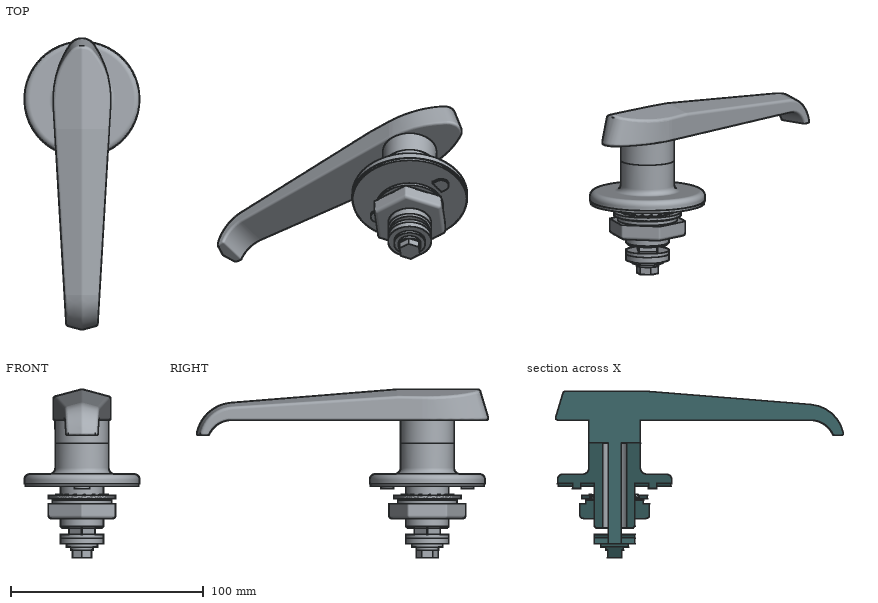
import cadquery as cq
import math


grip_bottom = 32.8
ridge_height = 49.0
roof_pitch = 15.0
grip_half_width = 15.0
taper_start_y = -2.5
plan_end_y = -122.0
tip_bottom = 25.0
plan_end_half_width = 8.0
nose_y_bottom = 32.12
nose_y_top = 27.3
nose_radius = 7.5
ridge_bend_y = -15.5
ridge_slope = 4.6
curl_start_y = -101.8
curl_outer_radius = 20.0
curl_inner_radius = 12.6
rim_fillet = 1.8
underside_fillet = 1.2
tip_fillet = 1.0
ridge_width = 0.5
tip_front_limit_y = -116.0

shank_radius = 14.0
shank_bottom = 21.0
spindle_side = 10.0
spindle_corner_radius = 6.8
flange_radius = 30.0
flange_thickness = 5.0
flange_fillet = 3.0
neck_fillet = 3.0
barrel_radius = 11.25
barrel_bottom = -23.2
barrel_chamfer = 1.0
bore_radius = 7.0

gasket_radius = 29.6
gasket_thickness = 1.5
lug_height = 2.7
lug_half_width = 4.0
lug_centre_y = 20.1
lug_inner_y = 17.5

tooth_count = 16
lock_washer_z = -7.0
lock_washer_thickness = 1.6
lock_washer_radius = 17.5
lock_washer_inner_radius = 13.2
tooth_inner_radius = 11.6
tooth_width = 4.0
tooth_thickness = 0.8
tooth_twist = 35.0
tooth_overlap = 0.4

nut_top = -8.6
nut_collar_height = 1.9
nut_collar_radius = 15.5
nut_hex_height = 7.8
nut_across_flats = 35.0
nut_corner_fillet = 1.2
nut_bottom_fillet = 1.8

disc_radius = barrel_radius
stop_disc_top = -26.4
stop_disc_thickness = 1.9
cam_disc_thickness = 3.1
washer_radius = 8.1
washer_thickness = 1.6
screw_radius = 3.0
screw_depth = 12.0
screw_collar_radius = 5.85
screw_collar_thickness = 1.6
screw_head_height = 4.0
screw_across_flats = 10.0

cam_disc_top = stop_disc_top - stop_disc_thickness
washer_top = cam_disc_top - cam_disc_thickness
screw_collar_top = washer_top - washer_thickness
screw_head_top = screw_collar_top - screw_collar_thickness


def cylinder(radius, bottom, top):
    return cq.Workplane("XY").workplane(offset=bottom).circle(radius).extrude(top - bottom)


def hexagon(across_flats, bottom, top):
    """Hexagonal prism with flats facing +X and -X."""
    across_corners = across_flats / math.cos(math.radians(30))
    prism = cq.Workplane("XY").polygon(6, across_corners).extrude(top - bottom)
    return prism.rotate((0, 0, 0), (0, 0, 1), 30).translate((0, 0, bottom))


def spindle_bar(bottom, top):
    """Square bar turned 45 degrees, its corners rounded off."""
    bar = cq.Workplane("XY").workplane(offset=bottom).rect(spindle_side, spindle_side).extrude(top - bottom)
    bar = bar.rotate((0, 0, 0), (0, 0, 1), 45)
    return bar.intersect(cylinder(spindle_corner_radius, bottom, top))


def nose_outline(sketch, apex_y):
    """Pointed arch: side arcs start along Y at the full width and blend into the nose circle."""
    nose_centre_y = apex_y - nose_radius
    side_radius = (grip_half_width**2 + nose_centre_y**2 - nose_radius**2) / (
        2 * (grip_half_width - nose_radius)
    )
    side_centre_x = side_radius - grip_half_width
    sweep = math.atan2(nose_centre_y, side_centre_x)
    join = (nose_radius * math.cos(sweep), nose_centre_y + nose_radius * math.sin(sweep))
    middle = (
        side_radius * math.cos(sweep / 2) - side_centre_x,
        side_radius * math.sin(sweep / 2),
    )
    return (
        sketch.moveTo(grip_half_width, 0)
        .threePointArc(middle, join)
        .threePointArc((0, apex_y), (-join[0], join[1]))
        .threePointArc((-middle[0], middle[1]), (-grip_half_width, 0))
        .close()
    )


def grip_plan():
    """Everything inside the grip's side walls: leaning nose and tapered arm."""
    nose = nose_outline(cq.Workplane("XY").workplane(offset=grip_bottom), nose_y_bottom)
    nose = nose_outline(nose.workplane(offset=ridge_height - grip_bottom), nose_y_top).loft(ruled=True)
    arm = (
        cq.Workplane("XY")
        .workplane(offset=tip_bottom)
        .moveTo(grip_half_width, 0)
        .lineTo(grip_half_width, taper_start_y)
        .lineTo(plan_end_half_width, plan_end_y)
        .lineTo(-plan_end_half_width, plan_end_y)
        .lineTo(-grip_half_width, taper_start_y)
        .lineTo(-grip_half_width, 0)
        .close()
        .extrude(ridge_height - tip_bottom)
    )
    return nose.union(arm)


def arc_end(start, radius, start_slope, end_slope):
    """Middle and end point of an arc that bends downward while running toward -Y."""
    points = []
    for slope in ((start_slope + end_slope) / 2, end_slope):
        a, b = math.radians(start_slope), math.radians(slope)
        y = start[0] - radius * (math.sin(b) - math.sin(a))
        z = start[1] - radius * (math.cos(a) - math.cos(b))
        points.append((y, z))
    return points


def grip_roof():
    """Narrow flat ridge with a mirrored half on each side that falls away at the roof pitch."""
    clearance = 10.0
    rear_y = nose_y_bottom + clearance
    floor_z = tip_bottom - clearance
    drop = (ridge_bend_y - curl_start_y) * math.tan(math.radians(ridge_slope))
    curl_start = (curl_start_y, ridge_height - drop)
    curl_middle, curl_end = arc_end(curl_start, curl_outer_radius, ridge_slope, 90.0)
    profile = (
        cq.Workplane("YZ")
        .workplane(offset=-ridge_width / 2)
        .moveTo(rear_y, ridge_height)
        .lineTo(ridge_bend_y, ridge_height)
        .lineTo(*curl_start)
        .threePointArc(curl_middle, curl_end)
        .lineTo(curl_end[0], floor_z)
        .lineTo(rear_y, floor_z)
        .close()
        .val()
    )
    ridge = cq.Workplane("YZ").add(profile).toPending().extrude(ridge_width)
    side = cq.Workplane("YZ").add(profile).toPending().extrude(-grip_half_width, taper=roof_pitch)
    return ridge.union(side).union(side.mirror("YZ"))


def grip_underside():
    """Space beneath the grip, following the inside of the curled tip."""
    curl_start = (curl_start_y, grip_bottom)
    end_slope = math.degrees(math.acos(1 - (grip_bottom - tip_bottom) / curl_inner_radius))
    curl_middle, curl_end = arc_end(curl_start, curl_inner_radius, 0.0, end_slope)
    return (
        cq.Workplane("YZ")
        .moveTo(nose_y_bottom, grip_bottom)
        .lineTo(*curl_start)
        .threePointArc(curl_middle, curl_end)
        .lineTo(nose_y_bottom, tip_bottom)
        .close()
        .extrude(grip_half_width + 1.0, both=True)
    )


def is_rim_edge(edge):
    """Edges where the roof meets the side walls."""
    start, middle, end = edge.startPoint(), edge.positionAt(0.5), edge.endPoint()
    follows_wall = abs(end.y - start.y) > abs(end.z - start.z) - 0.01
    on_ridge = abs(middle.x) < ridge_width and middle.y < nose_y_top - nose_radius
    return middle.z > grip_bottom + 1.0 and follows_wall and not on_ridge


def is_underside_edge(edge):
    """Edges where the underside, curl included, meets the side walls."""
    middle = edge.positionAt(0.5)
    top_z = max(edge.startPoint().z, edge.endPoint().z)
    crosses_grip = abs(middle.x) < 0.1 and middle.y < 0
    return abs(top_z - grip_bottom) < 0.01 and not crosses_grip


def is_tip_edge(edge):
    """Edges where the roof runs out at the flat end of the curl."""
    middle = edge.positionAt(0.5)
    return abs(middle.z - tip_bottom) < 0.01 and middle.y < tip_front_limit_y


def fillet_where(solid, radius, test):
    return solid.fillet(radius, [edge for edge in solid.Edges() if test(edge)])


def make_handle():
    grip = grip_plan().intersect(grip_roof()).cut(grip_underside()).val().Solids()[0]
    grip = fillet_where(grip, rim_fillet, is_rim_edge)
    grip = fillet_where(grip, underside_fillet, is_underside_edge)
    grip = fillet_where(grip, tip_fillet, is_tip_edge)
    shank = cylinder(shank_radius, shank_bottom, grip_bottom + 2.0)
    spindle = spindle_bar(washer_top, shank_bottom)
    screw_hole = cylinder(screw_radius, washer_top, washer_top + screw_depth)
    return cq.Workplane(grip).union(shank).union(spindle).cut(screw_hole)


def make_housing():
    neck_top = shank_bottom
    body = cylinder(flange_radius, 0, flange_thickness).faces(">Z").edges().fillet(flange_fillet)
    neck = cylinder(shank_radius, flange_thickness, neck_top)
    body = body.union(neck)
    neck_root = cq.selectors.RadiusNthSelector(0)
    body = body.faces(cq.selectors.NearestToPointSelector((20, 0, flange_thickness))).edges(neck_root)
    body = body.fillet(neck_fillet)
    barrel = cylinder(barrel_radius, barrel_bottom, 0).faces("<Z").edges().chamfer(barrel_chamfer)
    bore = cylinder(bore_radius, barrel_bottom, neck_top)
    return body.union(barrel).union(lugs()).cut(bore)


def lugs():
    """Two lugs under the flange: half-round outside, flat toward the barrel."""
    lug = (
        cq.Workplane("XY")
        .moveTo(-lug_half_width, lug_inner_y)
        .lineTo(lug_half_width, lug_inner_y)
        .lineTo(lug_half_width, lug_centre_y)
        .threePointArc((0, lug_centre_y + lug_half_width), (-lug_half_width, lug_centre_y))
        .close()
        .extrude(-lug_height)
    )
    return lug.union(lug.mirror("XZ"))


def make_gasket():
    ring = cylinder(gasket_radius, -gasket_thickness, 0)
    return ring.cut(cylinder(barrel_radius, -gasket_thickness, 0)).cut(lugs())


def make_lock_washer():
    """Flat ring with twisted teeth pointing inward."""
    half_thickness = lock_washer_thickness / 2
    bottom, top = lock_washer_z - half_thickness, lock_washer_z + half_thickness
    washer = cylinder(lock_washer_radius, bottom, top).cut(cylinder(lock_washer_inner_radius, bottom, top))
    length = lock_washer_inner_radius + tooth_overlap - tooth_inner_radius
    tooth = (
        cq.Workplane("XY")
        .box(length, tooth_width, tooth_thickness, centered=(False, True, True))
        .rotate((0, 0, 0), (1, 0, 0), tooth_twist)
        .translate((tooth_inner_radius, 0, lock_washer_z))
    )
    for index in range(tooth_count):
        washer = washer.union(tooth.rotate((0, 0, 0), (0, 0, 1), index * 360 / tooth_count))
    return washer


def make_nut():
    hex_top = nut_top - nut_collar_height
    hex_bottom = hex_top - nut_hex_height
    nut = hexagon(nut_across_flats, hex_bottom, hex_top)
    nut = nut.edges("|Z").fillet(nut_corner_fillet).faces("<Z").edges().fillet(nut_bottom_fillet)
    nut = nut.union(cylinder(nut_collar_radius, hex_top, nut_top))
    return nut.cut(cylinder(barrel_radius, hex_bottom, nut_top))


def make_disc(top, thickness):
    """Round disc carried on the square spindle."""
    bottom = top - thickness
    return cylinder(disc_radius, bottom, top).cut(spindle_bar(bottom, top))


def make_washer():
    ring = cylinder(washer_radius, screw_collar_top, washer_top)
    return ring.cut(cylinder(screw_radius, screw_collar_top, washer_top))


def make_screw():
    head = hexagon(screw_across_flats, screw_head_top - screw_head_height, screw_head_top)
    collar = cylinder(screw_collar_radius, screw_head_top, screw_collar_top)
    thread = cylinder(screw_radius, screw_collar_top, washer_top + screw_depth)
    return head.union(collar).union(thread)


handle = make_handle()
housing = make_housing()
gasket = make_gasket()
lock_washer = make_lock_washer()
nut = make_nut()
stop_disc = make_disc(stop_disc_top, stop_disc_thickness)
cam_disc = make_disc(cam_disc_top, cam_disc_thickness)
washer = make_washer()
screw = make_screw()

bodies = [handle, housing, gasket, lock_washer, nut, stop_disc, cam_disc, washer, screw]
result = cq.Compound.makeCompound([body.solids().val() for body in bodies])